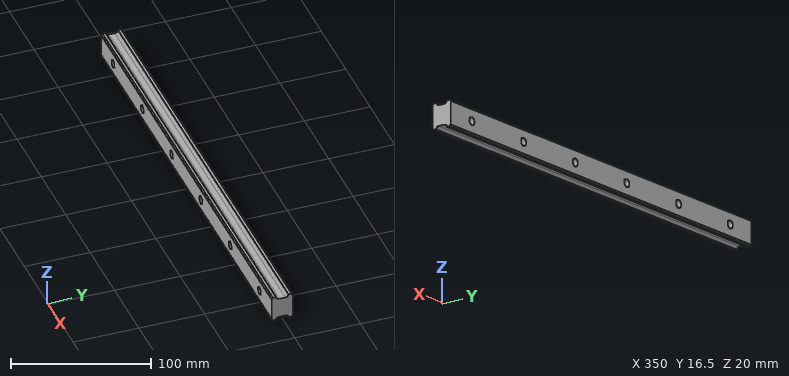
import cadquery as cq
import math

length = 350.0
width = 16.5
height = 20.0

edge_chamfer = 1.0
rib_land = 2.5
groove_depth = 2.0
wall_radius = 2.5

hole_count = 6
hole_diameter = 6.0
end_distance = 25.0
hole_pitch = (length - 2 * end_distance) / (hole_count - 1)


def rail_blank():
    """Bar with chamfered long edges."""
    return cq.Workplane("XY").box(length, width, height).edges("|X").chamfer(edge_chamfer)


def groove(side):
    """Groove in the top (side=1) or bottom (side=-1), its walls curving into a flat floor."""
    half_mouth = width / 2 - edge_chamfer - rib_land
    arc_rise = wall_radius - groove_depth
    half_floor = half_mouth - math.sqrt(wall_radius**2 - arc_rise**2)
    face_z = side * height / 2
    floor_z = side * (height / 2 - groove_depth)
    return (
        cq.Workplane("YZ")
        .moveTo(half_mouth, face_z)
        .lineTo(-half_mouth, face_z)
        .radiusArc((-half_floor, floor_z), -side * wall_radius)
        .lineTo(half_floor, floor_z)
        .radiusArc((half_mouth, face_z), -side * wall_radius)
        .close()
        .extrude(length / 2, both=True)
    )


def mounting_holes():
    """Evenly spaced cylinders along Y, centred on the rail."""
    return (
        cq.Workplane("XZ")
        .rarray(hole_pitch, 3.5, hole_count, 1)
        .circle(hole_diameter / 2)
        .extrude(width, both=True)
    )


result = rail_blank()
for side in (1, -1):
    result = result.cut(groove(side))
result = result.cut(mounting_holes())